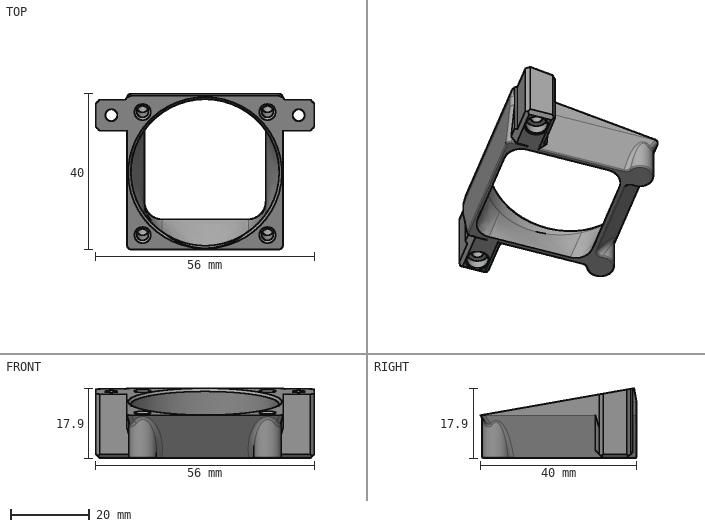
import cadquery as cq
import math

plate_size = 40.0
plate_corner_radius = 1.2
tilt_angle = 10.0
hinge_height = 11.0
tilt = math.radians(tilt_angle)
front_y = -plate_size / 2
back_y = plate_size / 2
side_x = plate_size / 2
peak_height = hinge_height + plate_size * math.sin(tilt)
plate_center_y = front_y + plate_size / 2 * math.cos(tilt)
plate_center_z = hinge_height + plate_size / 2 * math.sin(tilt)
tool_reach = 2 * plate_size

bore_diameter = 38.0
rim_chamfer = 0.7

opening_size = 31.0
opening_corner_radius = 4.5
wall = 1.2
base_size = opening_size + 2 * wall
base_center_y = back_y - base_size / 2
base_half_width = base_size / 2
base_edge_radius = 0.4

screw_spacing = 32.0
screw_pattern_shift = -0.2
screw_hole_diameter = 3.0
screw_hole_depth = 8.0
screw_mouth_chamfer = 0.6
drill_tip_height = 1.0

post_radius = 3.55
post_y = plate_center_y - screw_spacing / 2 * math.cos(tilt)
post_blend_radius = 1.5

tab_span = 56.0
tab_end_x = tab_span / 2
tab_front_y = 10.45
tab_back_y = 18.45
tab_center_y = (tab_front_y + tab_back_y) / 2
tab_chamfer = 1.0
tab_hole_spacing = 48.0
tab_hole_diameter = 3.0
head_recess_diameter = 5.5
head_recess_depth = 3.0
head_recess_chamfer = 0.3

front_flare = 1.0
back_flare_width = 0.4
back_flare_length = 0.6


def seat_plane(x=0.0, along_slope=0.0):
    """Plane on the tilted seat, its normal pointing up and out of the part."""
    origin = (
        x,
        plate_center_y + along_slope * math.cos(tilt),
        plate_center_z + along_slope * math.sin(tilt),
    )
    normal = (0, -math.sin(tilt), math.cos(tilt))
    return cq.Plane(origin=origin, xDir=(1, 0, 0), normal=normal)


def rounded_square(size, center_y, radius):
    return cq.Sketch().push([(0, center_y)]).rect(size, size).reset().vertices().fillet(radius)


def cone(plane, bottom_radius, top_radius, height):
    """Cone frustum rising along the plane's normal."""
    solid = cq.Solid.makeCone(bottom_radius, top_radius, height, plane.origin, plane.zDir)
    return cq.Workplane(obj=solid)


def below_seat():
    return cq.Workplane(seat_plane()).rect(tool_reach, tool_reach).extrude(-tool_reach)


def seat_body():
    """Wedge between the hinge level and the seat, squared to the seat at the back."""
    outline = rounded_square(plate_size, 0, plate_corner_radius)
    column = cq.Workplane().workplane(offset=hinge_height).placeSketch(outline).extrude(plate_size)
    tilted_outline = rounded_square(plate_size, 0, plate_corner_radius)
    tilted_column = cq.Workplane(seat_plane()).placeSketch(tilted_outline).extrude(-plate_size)
    return column.intersect(tilted_column)


def duct_body():
    """Outer duct below the hinge level, narrowing towards the base."""
    base = rounded_square(base_size, base_center_y, plate_corner_radius)
    top = rounded_square(plate_size, 0, plate_corner_radius).moved(
        cq.Location(cq.Vector(0, 0, hinge_height))
    )
    return cq.Workplane().placeSketch(base, top).loft(ruled=True)


def post(side):
    column = cq.Workplane().center(side * screw_spacing / 2, post_y).circle(post_radius)
    return column.extrude(peak_height).intersect(below_seat())


def follows_post(edge):
    """True for an edge where a post's round side runs into the duct or the seat."""
    if edge.geomType() == "CIRCLE":
        return False
    for fraction in (0.0, 0.3, 0.7, 1.0):
        point = edge.positionAt(fraction)
        distance = math.hypot(abs(point.x) - screw_spacing / 2, point.y - post_y)
        if abs(distance - post_radius) > 0.001:
            return False
    return True


def outer_body():
    """Seat, duct and posts, with blended posts and a rounded base edge."""
    body = seat_body().union(duct_body()).union(post(-1)).union(post(1))
    post_edges = [edge for edge in body.edges().vals() if follows_post(edge)]
    body = body.newObject(post_edges).fillet(post_blend_radius)
    return body.faces("<Z").edges().fillet(base_edge_radius)


def front_flare_body():
    """Chamfered inside corner between a tab front and the leaning duct side."""
    def section(duct_x):
        return [
            (duct_x - front_flare, tab_front_y - front_flare),
            (duct_x, tab_front_y - front_flare),
            (duct_x + front_flare, tab_front_y),
            (duct_x + front_flare, tab_center_y),
            (duct_x - front_flare, tab_center_y),
        ]

    flare = (
        cq.Workplane()
        .polyline(section(base_half_width))
        .close()
        .workplane(offset=hinge_height)
        .polyline(section(side_x))
        .close()
        .loft(ruled=True)
    )
    inside = cq.Workplane().box(2 * side_x, tool_reach, tool_reach)
    return flare.intersect(inside)


def tab():
    """Right-hand tab with chamfered outer corners and base."""
    outline = [
        (base_half_width, tab_front_y),
        (tab_end_x - tab_chamfer, tab_front_y),
        (tab_end_x, tab_front_y + tab_chamfer),
        (tab_end_x, tab_back_y - tab_chamfer),
        (tab_end_x - tab_chamfer, tab_back_y),
        (side_x + back_flare_width, tab_back_y),
        (side_x, tab_back_y + back_flare_length),
        (base_half_width, tab_back_y + back_flare_length),
    ]
    block = cq.Workplane().polyline(outline).close().extrude(peak_height)
    block = block.union(front_flare_body()).intersect(below_seat())

    cross_section = [
        (tab_front_y + tab_chamfer, 0),
        (tab_back_y - tab_chamfer, 0),
        (tab_back_y - tab_chamfer + peak_height, peak_height),
        (tab_front_y + tab_chamfer - peak_height, peak_height),
    ]
    end_profile = [
        (0, 0),
        (tab_end_x - tab_chamfer, 0),
        (tab_end_x - tab_chamfer + peak_height, peak_height),
        (0, peak_height),
    ]
    across = cq.Workplane("YZ").polyline(cross_section).close().extrude(tab_span)
    along = cq.Workplane("XZ").polyline(end_profile).close().extrude(tool_reach, both=True)
    return block.intersect(across).intersect(along)


def tab_hole(side):
    """Screw clearance hole with a chamfered head recess in the base."""
    axis = cq.Workplane().center(side * tab_hole_spacing / 2, tab_center_y)
    hole = axis.circle(tab_hole_diameter / 2).extrude(tool_reach)
    recess = axis.circle(head_recess_diameter / 2).extrude(head_recess_depth)
    recess_radius = head_recess_diameter / 2
    mouth = cone(axis.plane, recess_radius + head_recess_chamfer, recess_radius, head_recess_chamfer)
    return hole.union(recess).union(mouth)


def screw_hole(x, along_slope):
    radius = screw_hole_diameter / 2
    mouth_plane = seat_plane(x, along_slope)
    hole = cq.Workplane(mouth_plane).circle(radius).extrude(-screw_hole_depth)
    mouth_base = cq.Workplane(mouth_plane).workplane(offset=-screw_mouth_chamfer).plane
    tip_plane = cq.Workplane(mouth_plane).workplane(offset=-screw_hole_depth - drill_tip_height).plane
    mouth = cone(mouth_base, radius, radius + screw_mouth_chamfer, screw_mouth_chamfer)
    tip = cone(tip_plane, 0, radius, drill_tip_height)
    return hole.union(mouth).union(tip)


def bore():
    """Bore square to the seat, ending at the hinge level."""
    radius = bore_diameter / 2
    cylinder = cq.Workplane(seat_plane()).circle(radius).extrude(-plate_size)
    rim_base = cq.Workplane(seat_plane()).workplane(offset=-rim_chamfer).plane
    rim = cone(rim_base, radius, radius + rim_chamfer, rim_chamfer)
    above_hinge = (
        cq.Workplane().workplane(offset=hinge_height).rect(tool_reach, tool_reach).extrude(tool_reach)
    )
    return cylinder.union(rim).intersect(above_hinge)


def duct_passage():
    """Passage from the bore's elliptical end at the hinge level to the rounded square."""
    end_y = plate_center_y + (plate_center_z - hinge_height) * math.tan(tilt)
    opening = rounded_square(opening_size, base_center_y, opening_corner_radius)
    top = (
        cq.Sketch()
        .push([(0, end_y)])
        .ellipse(bore_diameter / 2, bore_diameter / 2 / math.cos(tilt))
        .moved(cq.Location(cq.Vector(0, 0, hinge_height)))
    )
    return cq.Workplane().placeSketch(opening, top).loft(ruled=True)


def build():
    body = outer_body()
    body = body.union(tab()).union(tab().mirror("YZ"))
    body = body.cut(bore()).cut(duct_passage())
    for side in (-1, 1):
        body = body.cut(tab_hole(side))
        for end in (-1, 1):
            along_slope = screw_pattern_shift + end * screw_spacing / 2
            body = body.cut(screw_hole(side * screw_spacing / 2, along_slope))
    return body


result = build()